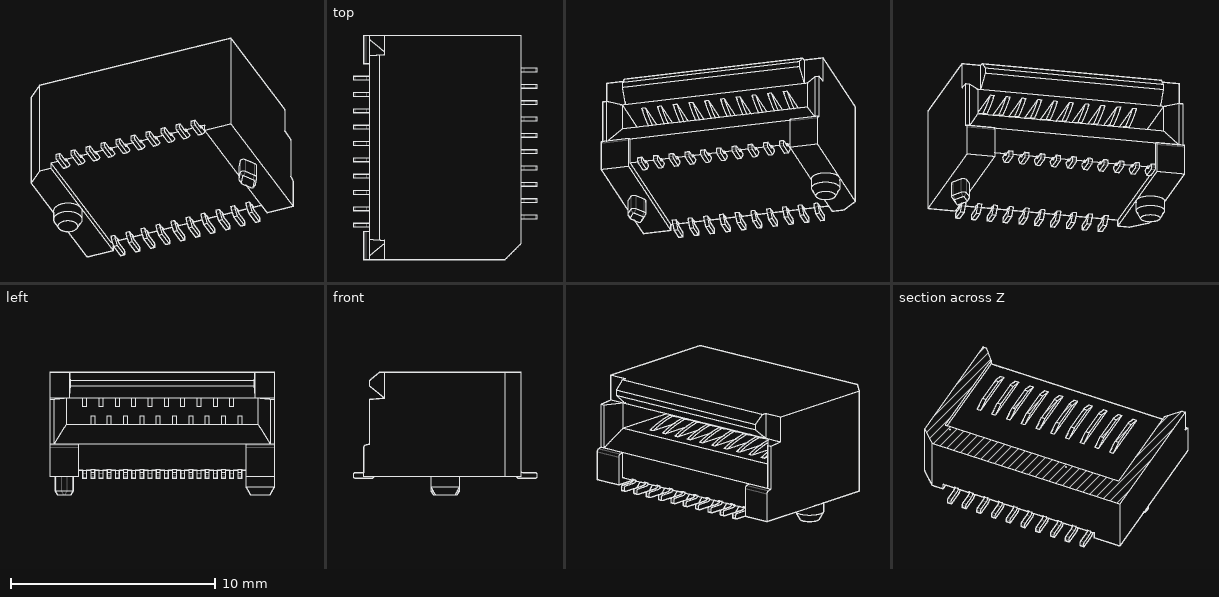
import cadquery as cq
import math


body_length_y = 11.0
body_height = 5.12
wall_x = 3.715
corner_chamfer = 0.8
half_y = body_length_y / 2

shoulder_x = -2.985
shoulder_z = 3.85
ledge_front_z = 3.79
nose_top_x = -3.22
nose_tip_low_z = 4.44
nose_tip_high_z = 4.71
nose_half_y_front = 4.5
nose_half_y_back = 4.55

foot_front_x = -4.0
foot_top_z = 1.6
foot_front_z = 1.53
foot_fillet = 0.14
foot_inner_y = 4.1
channel_height = 0.31

flare_half_y = 5.3
cavity_half_y = 4.7
cavity_floor_z = 2.56
cavity_back_x = 2.2

lead_count = 10
lead_pitch = 0.8
lead_width = 0.2
lead_thickness = 0.28
lead_tip_x = 4.5
lead_foot_z = -0.08
lead_tip_fillet = 0.09
ramp_start_x = -3.56
foot_bend_radius = 0.42
leg_back_x = -3.17
leg_bend_radius = 0.5
leg_top_z = 0.8
lead_notch_height = 0.35
row_stagger = lead_pitch / 4

contact_start_x = -2.35
contact_peak_x = -0.9
contact_end_x = 0.3
contact_rise = 0.42
contact_bow = 0.05

peg_depth = 0.9
peg_y = 4.8
peg_radius = 0.7
round_peg_taper_height = 0.4
round_peg_taper_inset = 0.22
flat_peg_half_y = 0.45
flat_peg_tip_fillet = 0.154
flat_peg_flank_angle = 60
flat_peg_taper_height = 0.2
flat_peg_taper_inset = 0.12


def extrude_along_y(outline, y_from, y_to):
    """Solid with an X-Z outline, spanning y_from to y_to."""
    plane = cq.Workplane("XZ", origin=(0, y_from, 0))
    return plane.polyline(outline).close().extrude(y_from - y_to)


def box_between(low, high):
    size = [b - a for a, b in zip(low, high)]
    return cq.Workplane("XY").box(*size, centered=False).translate(low)


def make_shell():
    outline = [
        (-wall_x, 0),
        (wall_x, 0),
        (wall_x, body_height),
        (shoulder_x, body_height),
        (shoulder_x, shoulder_z),
        (-wall_x, ledge_front_z),
    ]
    shell = extrude_along_y(outline, -half_y, half_y)
    return shell.edges("|Z and >X and <Y").chamfer(corner_chamfer)


def make_nose():
    """Pointed overhang above the mouth, slightly narrower at its front."""
    outline = [
        (shoulder_x, shoulder_z),
        (shoulder_x, body_height),
        (nose_top_x, body_height),
        (-wall_x, nose_tip_high_z),
        (-wall_x, nose_tip_low_z),
    ]
    nose = extrude_along_y(outline, -nose_half_y_back, nose_half_y_back)
    plan = [
        (shoulder_x, -nose_half_y_back),
        (-wall_x, -nose_half_y_front),
        (-wall_x, nose_half_y_front),
        (shoulder_x, nose_half_y_back),
    ]
    return nose.intersect(cq.Workplane("XY").polyline(plan).close().extrude(body_height))


def make_foot(y_from, y_to):
    outline = [
        (foot_front_x, 0),
        (-wall_x, 0),
        (-wall_x, foot_top_z),
        (foot_front_x, foot_front_z),
    ]
    foot = extrude_along_y(outline, y_from, y_to)
    return foot.edges("|Y and <X").edges(">Z").fillet(foot_fillet)


def make_cavity():
    """Card slot with a flared mouth: both sides and the floor open out, the ceiling is level."""
    mouth_height = shoulder_z - foot_top_z
    slot_height = shoulder_z - cavity_floor_z
    flare = (
        cq.Workplane("YZ", origin=(-wall_x, 0, shoulder_z - mouth_height / 2))
        .rect(2 * flare_half_y, mouth_height)
        .workplane(offset=shoulder_x + wall_x)
        .center(0, (mouth_height - slot_height) / 2)
        .rect(2 * cavity_half_y, slot_height)
        .loft(ruled=True)
    )
    slot = box_between(
        (shoulder_x, -cavity_half_y, cavity_floor_z),
        (cavity_back_x, cavity_half_y, shoulder_z),
    )
    return flare.union(slot)


def fillet_y_edge(solid, x, z, radius):
    """Round the edge that runs along Y through the given X-Z corner."""
    return solid.edges(cq.selectors.NearestToPointSelector((x, 0, z))).fillet(radius)


def make_front_lead():
    """Lead for the front row, centred on Y = 0: a solder foot, a 45-degree ramp, an upright leg."""
    foot_top_z = lead_foot_z + lead_thickness
    ramp_top_x = ramp_start_x - lead_thickness * math.tan(math.radians(22.5))
    leg_front_x = leg_back_x - lead_thickness
    ramp_back_z = lead_foot_z + leg_back_x - ramp_start_x
    ramp_front_z = foot_top_z + leg_front_x - ramp_top_x
    outline = [
        (-lead_tip_x, lead_foot_z),
        (ramp_start_x, lead_foot_z),
        (leg_back_x, ramp_back_z),
        (leg_back_x, leg_top_z),
        (leg_front_x, leg_top_z),
        (leg_front_x, ramp_front_z),
        (ramp_top_x, foot_top_z),
        (-lead_tip_x, foot_top_z),
    ]
    lead = extrude_along_y(outline, -lead_width / 2, lead_width / 2)
    lead = lead.faces("<X").edges("|Y").fillet(lead_tip_fillet)
    lead = fillet_y_edge(lead, ramp_top_x, foot_top_z, foot_bend_radius)
    return fillet_y_edge(lead, leg_back_x, ramp_back_z, leg_bend_radius)


def make_lower_contact():
    """Bowed ramp rising from the cavity floor, centred on Y = 0."""
    ramp_mid_x = (contact_start_x + contact_peak_x) / 2
    ramp_mid_z = cavity_floor_z + contact_rise / 2 + contact_bow
    return (
        cq.Workplane("XZ", origin=(0, lead_width / 2, 0))
        .moveTo(contact_start_x, cavity_floor_z)
        .threePointArc((ramp_mid_x, ramp_mid_z), (contact_peak_x, cavity_floor_z + contact_rise))
        .lineTo(contact_end_x, cavity_floor_z)
        .close()
        .extrude(lead_width)
    )


def make_lead_notch():
    """Relief in the bottom edge of the front wall, just clearing one lead."""
    return box_between(
        (-wall_x, -lead_width / 2, 0),
        (leg_back_x - lead_thickness, lead_width / 2, lead_notch_height),
    )


def row(item, shift):
    """Ten copies of an item along Y, the row's middle placed at the given shift."""
    first_y = shift - lead_pitch * (lead_count - 1) / 2
    places = [(0, first_y + lead_pitch * i, 0) for i in range(lead_count)]
    copies = [item.translate(place).val() for place in places]
    return cq.Workplane(cq.Compound.makeCompound(copies))


def make_round_peg():
    peg = cq.Workplane("XY").circle(peg_radius).extrude(-peg_depth)
    peg = peg.faces("<Z").chamfer(round_peg_taper_height, round_peg_taper_inset)
    return peg.translate((0, -peg_y, 0))


def make_flat_peg():
    """Diamond-shaped peg, long along X, with all four corners rounded."""
    angle = math.radians(flat_peg_flank_angle)
    point_x = peg_radius + flat_peg_tip_fillet * (1 / math.cos(angle) - 1)
    point_y = point_x / math.tan(angle)
    side_fillet = (point_y - flat_peg_half_y) / (1 / math.sin(angle) - 1)
    outline = [(point_x, 0), (0, point_y), (-point_x, 0), (0, -point_y)]
    peg = cq.Workplane("XY").polyline(outline).close().extrude(-peg_depth)
    peg = peg.edges("<X or >X").fillet(flat_peg_tip_fillet)
    peg = peg.edges("(<Y or >Y) and |Z").fillet(side_fillet)
    peg = peg.faces("<Z").chamfer(flat_peg_taper_height, flat_peg_taper_inset)
    return peg.translate((0, peg_y, 0))


housing = make_shell().union(make_nose())
housing = housing.union(make_foot(-half_y, -foot_inner_y))
housing = housing.union(make_foot(foot_inner_y, half_y))
housing = housing.cut(make_cavity())
housing = housing.cut(
    box_between((-wall_x, -foot_inner_y, 0), (wall_x, foot_inner_y, channel_height))
)

front_lead = make_front_lead()
rear_lead = front_lead.mirror("YZ")
lower_contact = make_lower_contact()
cavity_mid_z = (cavity_floor_z + shoulder_z) / 2
upper_contact = lower_contact.mirror("XY", (0, 0, cavity_mid_z))
front_notch = make_lead_notch()
rear_notch = front_notch.mirror("YZ")

housing = housing.cut(row(front_notch, -row_stagger)).cut(row(rear_notch, row_stagger))
result = (
    housing.union(row(front_lead, -row_stagger))
    .union(row(lower_contact, -row_stagger))
    .union(row(rear_lead, row_stagger))
    .union(row(upper_contact, row_stagger))
    .union(make_round_peg())
    .union(make_flat_peg())
)